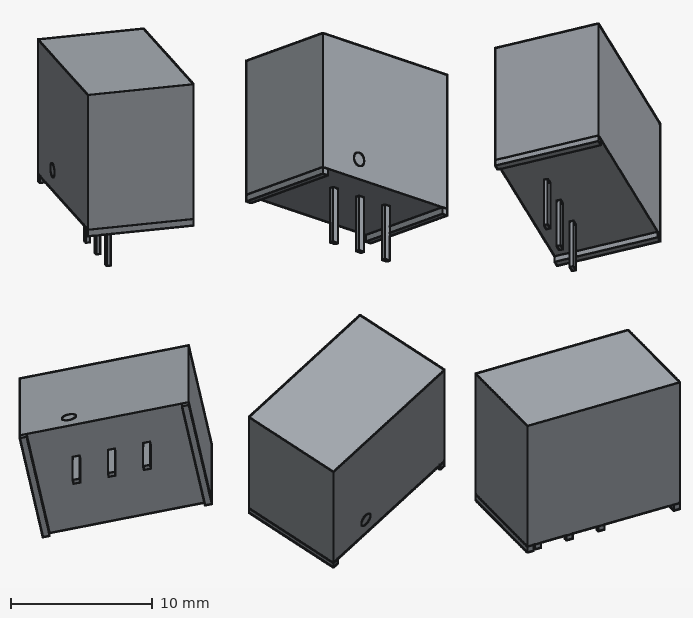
import cadquery as cq

housing_length = 12.2
housing_width = 7.8
housing_height = 10.1
housing_front_y = -housing_width / 2

foot_length = 0.5
foot_height = 0.5

pin_count = 3
pin_pitch = 2.54
pin_length_x = 0.5
pin_thickness_y = 0.3
pin_drop = 4.1
pin_row_y = -1.35

mark_diameter = 1.0
mark_depth = 0.1
mark_height = 1.5

first_pin_x = -pin_pitch * (pin_count - 1) / 2


def make_mark():
    """Thin disc running inward (+Y) from the front face."""
    return cq.Workplane(
        cq.Solid.makeCylinder(
            mark_diameter / 2,
            mark_depth,
            cq.Vector(first_pin_x, housing_front_y, mark_height),
            cq.Vector(0, 1, 0),
        )
    )


def make_housing():
    """Plain block with a recess that the pin-1 mark fills."""
    block = cq.Workplane("XY").box(
        housing_length, housing_width, housing_height, centered=(True, True, False)
    )
    return block.cut(make_mark())


def make_foot(side):
    """Full-width strip under the short edge on the given side (-1 or +1 along X)."""
    foot_x = side * (housing_length - foot_length) / 2
    return (
        cq.Workplane("XY")
        .center(foot_x, 0)
        .rect(foot_length, housing_width)
        .extrude(-foot_height)
    )


def make_pin(index):
    """Straight pin hanging from the underside of the housing."""
    return (
        cq.Workplane("XY")
        .center(first_pin_x + index * pin_pitch, pin_row_y)
        .rect(pin_length_x, pin_thickness_y)
        .extrude(-pin_drop)
    )


housing = make_housing()
mark = make_mark()
feet = [make_foot(side) for side in (-1, 1)]
pins = [make_pin(index) for index in range(pin_count)]

result = cq.Compound.makeCompound(
    [
        housing.val(),
        mark.val(),
        *[foot.val() for foot in feet],
        *[pin.val() for pin in pins],
    ]
)